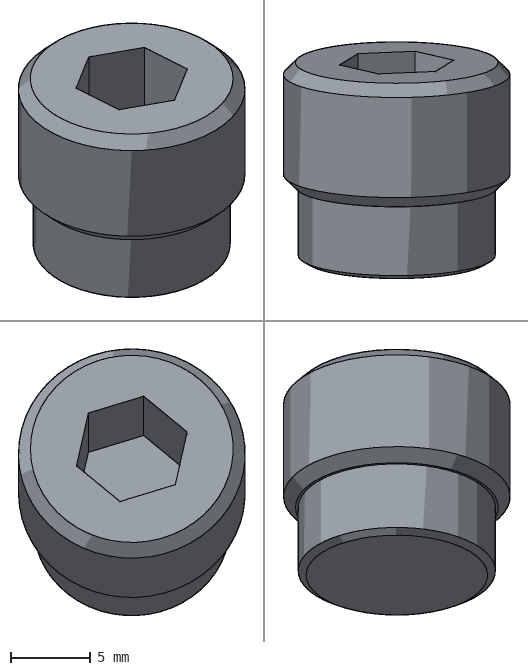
import cadquery as cq
import math

head_radius = 7.14
total_height = 12.7
shank_radius = 6.21
shank_height = 4.75

head_bevel = 0.75
shank_bevel_height = 0.3
shank_bevel_width = 0.5

socket_across_flats = 6.35
socket_depth = 6.42

bevel_radius = head_radius - head_bevel
socket_across_corners = socket_across_flats / math.cos(math.pi / 6)


def make_body():
    """Revolve the half profile of the shank and bevelled head about Z."""
    profile = [
        (0, 0),
        (shank_radius - shank_bevel_width, 0),
        (shank_radius, shank_bevel_height),
        (shank_radius, shank_height),
        (bevel_radius, shank_height),
        (head_radius, shank_height + head_bevel),
        (head_radius, total_height - head_bevel),
        (bevel_radius, total_height),
        (0, total_height),
    ]
    return cq.Workplane("XZ").polyline(profile).close().revolve(360, (0, 0), (0, 1))


def make_socket():
    """Blind hexagon sunk from the top face, with two corners on the X axis."""
    return (
        cq.Workplane("XY")
        .workplane(offset=total_height - socket_depth)
        .polygon(6, socket_across_corners)
        .extrude(socket_depth)
    )


result = make_body().cut(make_socket())